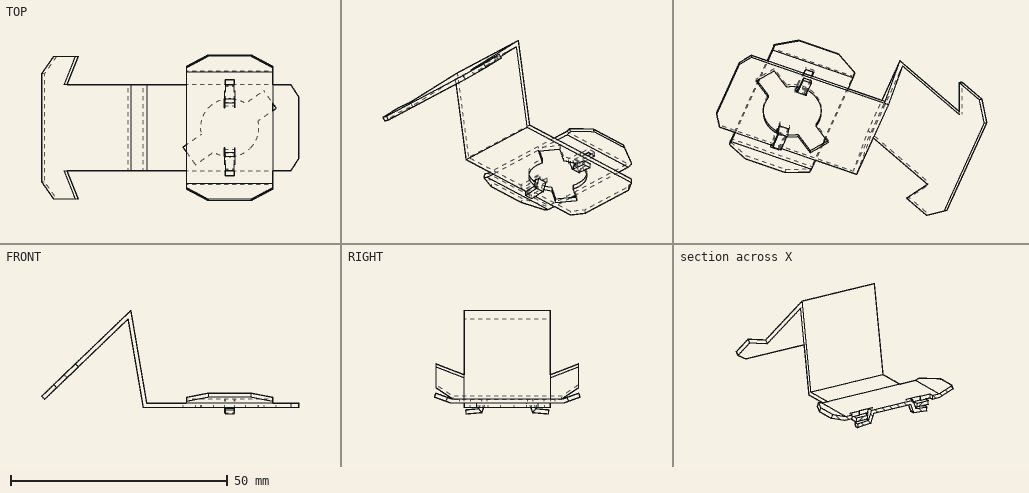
import cadquery as cq
import math


THICKNESS = 1.0
HALF_WIDTH = 10.0

STRIP_END_X = 16.0
END_CHAMFER_X = 1.85
END_CHAMFER_Y = 2.85
FOOT_X = -19.15
PEAK_X = -22.85
PEAK_Z = 21.5
OVERALL_LENGTH = 59.5
LEG_END_X = STRIP_END_X - OVERALL_LENGTH
LEG_END_Z = 1.6

HEAD_HALF_WIDTH = 16.55
HEAD_END_HALF_WIDTH = 12.55
HEAD_CHAMFER_LENGTH = 3.85
BARB_ROOT_LENGTH = 7.2
BARB_TIP_LENGTH = 10.8

OPENING_RADIUS = 6.7
OPENING_SLOT_LENGTH = 22.8
OPENING_SLOT_WIDTH = 5.0
OPENING_ANGLE = 35.0

WING_BEND_Y = 12.9
WING_ANGLE = 20.0
WING_LENGTH = 3.85
WING_SIDE_LENGTH = 1.0
WING_TIP_HALF_WIDTH = 4.95

SLIT_START_Y = 4.65
SLOT_STEP_Y = 8.45
SLOT_END_Y = 11.05
SLOT_HALF_WIDTH = 1.2
SIDE_GAP = 0.025
TAB_HALF_WIDTH = SLOT_HALF_WIDTH - SIDE_GAP
TAB_FOOT_HALF_WIDTH = 1.0
TAB_BEND_Y = 5.8
TAB_WEB_ANGLE = 70.0
TAB_FOOT_ANGLE = 5.0
TAB_WEB_LENGTH = 2.45
TAB_FOOT_LENGTH = 3.05


def step(start, angle, length):
    """Point reached from start by going a length at an angle in degrees above horizontal."""
    turn = math.radians(angle)
    return (start[0] + length * math.cos(turn), start[1] + length * math.sin(turn))


def sheet_section(top_points):
    """Closed section of folded sheet below a top line given left to right, with mitred folds."""
    headings = [
        math.atan2(after[1] - before[1], after[0] - before[0])
        for before, after in zip(top_points, top_points[1:])
    ]
    arriving = [headings[0]] + headings
    leaving = headings + [headings[-1]]
    bottom_points = []
    for (u, v), first, second in zip(top_points, arriving, leaving):
        middle = (first + second) / 2
        reach = THICKNESS / math.cos((second - first) / 2)
        bottom_points.append((u + reach * math.sin(middle), v - reach * math.cos(middle)))
    return top_points + bottom_points[::-1]


def section_solid(plane, section, half_width):
    """Solid of even width, centred on the plane of its section."""
    return cq.Workplane(plane).polyline(section).close().extrude(half_width, both=True)


def barbed_head():
    """Arrow-shaped end of the sloping leg, cut square to the leg."""
    slope = (PEAK_X - LEG_END_X, 0, PEAK_Z - LEG_END_Z)
    upward = (-slope[2], 0, slope[0])
    leg_plane = cq.Plane(origin=(LEG_END_X, 0, LEG_END_Z), xDir=slope, normal=upward)
    side = [
        (0, HEAD_END_HALF_WIDTH),
        (HEAD_CHAMFER_LENGTH, HEAD_HALF_WIDTH),
        (BARB_TIP_LENGTH, HEAD_HALF_WIDTH),
        (BARB_ROOT_LENGTH, HALF_WIDTH),
    ]
    other_side = [(along, -across) for along, across in reversed(side)]
    return cq.Workplane(leg_plane).polyline(side + other_side).close().extrude(-THICKNESS)


def bayonet_opening():
    """Round hole with a slanted slot: the tabs enter along the slot and turn to lock."""
    hole = cq.Workplane("XY").circle(OPENING_RADIUS).extrude(-THICKNESS)
    slot = (
        cq.Workplane("XY")
        .transformed(rotate=(0, 0, OPENING_ANGLE))
        .rect(OPENING_SLOT_LENGTH, OPENING_SLOT_WIDTH)
        .extrude(-THICKNESS)
    )
    return hole.union(slot)


def end_corner(side):
    """Triangle removed from one corner of the strip's flat end; side is +1 or -1."""
    corner = [
        (STRIP_END_X, side * HALF_WIDTH),
        (STRIP_END_X - END_CHAMFER_X, side * HALF_WIDTH),
        (STRIP_END_X, side * (HALF_WIDTH - END_CHAMFER_Y)),
    ]
    return cq.Workplane("XY").polyline(corner).close().extrude(-THICKNESS)


def make_strip():
    top_line = [(LEG_END_X, LEG_END_Z), (PEAK_X, PEAK_Z), (FOOT_X, 0), (STRIP_END_X, 0)]
    body = section_solid("XZ", sheet_section(top_line), HALF_WIDTH)
    body = body.union(barbed_head()).cut(bayonet_opening())
    for side in (1, -1):
        body = body.cut(end_corner(side))
    return body


def wing_tip():
    """Tapered outer part of the +Y wing, cut square to the wing."""
    wing_plane = cq.Plane(origin=(0, WING_BEND_Y, THICKNESS), xDir=(1, 0, 0), normal=(0, 0, 1))
    wing_plane = wing_plane.rotated((WING_ANGLE, 0, 0))
    outline = [
        (-HALF_WIDTH, WING_SIDE_LENGTH),
        (-WING_TIP_HALF_WIDTH, WING_LENGTH),
        (WING_TIP_HALF_WIDTH, WING_LENGTH),
        (HALF_WIDTH, WING_SIDE_LENGTH),
    ]
    return cq.Workplane(wing_plane).polyline(outline).close().extrude(-THICKNESS)


def tab_slot():
    """Stepped slot that the +Y tab is bent out of."""
    def opening(half_width, start_y, end_y):
        length = end_y - start_y
        middle_y = (start_y + end_y) / 2
        return cq.Workplane("XY").center(0, middle_y).rect(2 * half_width, length).extrude(THICKNESS)

    wide = opening(SLOT_HALF_WIDTH, SLIT_START_Y, SLOT_STEP_Y)
    narrow = opening(TAB_FOOT_HALF_WIDTH, SLOT_STEP_Y, SLOT_END_Y)
    return wide.union(narrow)


def locking_tab():
    """Tab on the +Y side: a web down through the strip, then a narrower foot out beneath it."""
    root = (SLIT_START_Y, THICKNESS)
    bend = (TAB_BEND_Y, THICKNESS)
    heel = step(bend, -TAB_WEB_ANGLE, TAB_WEB_LENGTH)
    tip = step(heel, -TAB_FOOT_ANGLE, TAB_FOOT_LENGTH)
    root_top, bend_top, heel_top, tip_top, tip_bottom, heel_bottom, bend_bottom, root_bottom = (
        sheet_section([root, bend, heel, tip])
    )
    web_section = [root_top, bend_top, heel_top, heel_bottom, bend_bottom, root_bottom]
    foot_section = [heel_top, tip_top, tip_bottom, heel_bottom]
    web = section_solid("YZ", web_section, TAB_HALF_WIDTH)
    foot = section_solid("YZ", foot_section, TAB_FOOT_HALF_WIDTH)
    return web.union(foot)


def make_plate():
    bend = (WING_BEND_Y, THICKNESS)
    wing_side = step(bend, WING_ANGLE, WING_SIDE_LENGTH)
    half_line = [(0, THICKNESS), bend, wing_side]
    half = section_solid("YZ", sheet_section(half_line), HALF_WIDTH)
    half = half.union(wing_tip()).cut(tab_slot()).union(locking_tab())
    return half.union(half.mirror("XZ"))


strip = make_strip()
plate = make_plate()

result = cq.Compound.makeCompound([strip.solids().val(), plate.solids().val()])